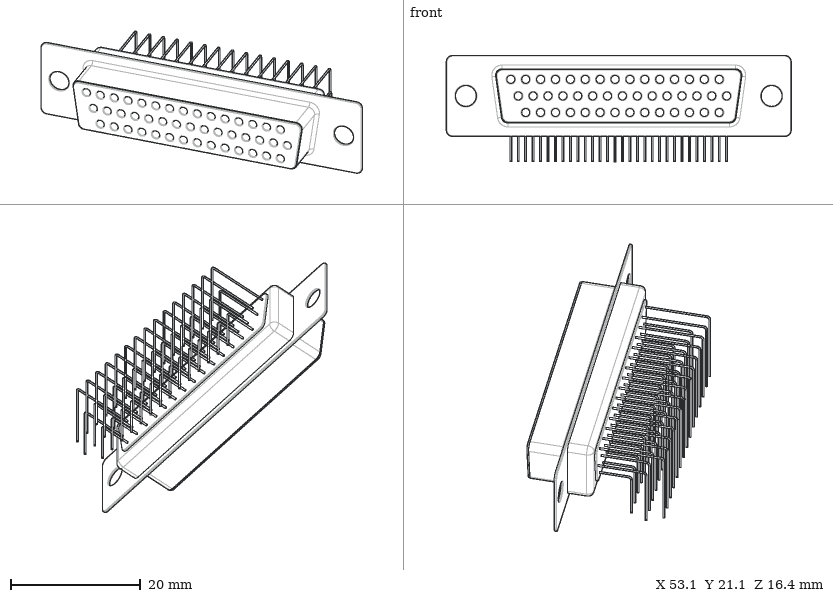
import cadquery as cq
import math

flange_width = 53.1
flange_height = 12.5
flange_thickness = 0.4
mount_hole_spacing = 47.05
mount_hole_diameter = 3.2

corner_radius = 1.0
edge_round = 0.1
side_lean = 8
shell_width = 37.9
front_height = 8.35
front_depth = 6.05
face_inset = 0.1
face_projection = 0.3
base_fillet = 0.6
rear_height = 10.4
rear_depth = 4.0
rear_rim_radius = 0.95
insulator_width = 35.2
insulator_height = 7.45
insulator_projection = 0.3

top_row_count = 15
top_row_length = 32.05
contact_pitch = top_row_length / (top_row_count - 1)
first_contact_x = -top_row_length / 2 - contact_pitch / 4
row_pitch = 2.55
socket_diameter = 1.2
socket_depth = 2.65

pin_diameter = 0.3
pin_bend_radius = 0.5
pin_embed = 0.55
overall_depth = 21.05
overall_height = 16.4
long_pin_bottom = flange_height / 2 - overall_height
pin_bottom = long_pin_bottom + 0.1
insulator_back = flange_thickness + rear_depth + insulator_projection
top_row_leg = overall_depth - front_depth - pin_diameter / 2

rows = [
    (row_pitch, first_contact_x, top_row_count, top_row_leg),
    (0, first_contact_x + contact_pitch / 2, top_row_count, top_row_leg - row_pitch),
    (-row_pitch, first_contact_x + contact_pitch, top_row_count - 1, top_row_leg - 2 * row_pitch),
]


def d_prism(width, height, y_start, y_end, radius=corner_radius):
    """Prism along Y with a rounded D outline; width is measured over its rounded upper corners."""
    lean = math.radians(side_lean)
    upper_corner = math.pi / 2 - lean
    half_top = width / 2 - radius + radius / math.tan(upper_corner / 2)
    half_bottom = half_top - height * math.tan(lean)
    outline = [
        (-half_top, height / 2),
        (half_top, height / 2),
        (half_bottom, -height / 2),
        (-half_bottom, -height / 2),
    ]
    prism = cq.Workplane("XZ", origin=(0, y_start, 0)).polyline(outline).close().extrude(y_start - y_end)
    return prism.edges("|Y").fillet(radius)


def make_flange():
    plate = cq.Workplane("XZ").rect(flange_width, flange_height).extrude(-flange_thickness)
    plate = plate.edges("|Y").fillet(corner_radius)
    holes = [(-mount_hole_spacing / 2, 0), (mount_hole_spacing / 2, 0)]
    plate = plate.faces("<Y").workplane().pushPoints(holes).hole(mount_hole_diameter)
    return plate.faces("<Y or >Y").edges().fillet(edge_round)


def add_front_shell(body):
    shell = d_prism(shell_width, front_height, flange_thickness, face_projection - front_depth)
    root_box = cq.selectors.BoxSelector(
        (-shell_width / 2 - 0.55, -0.05, -front_height / 2 - 0.55),
        (shell_width / 2 + 0.55, 0.05, front_height / 2 + 0.55),
    )
    return body.union(shell).edges(root_box).fillet(base_fillet)


def make_rear_shell():
    shell = cq.Workplane("XZ").rect(shell_width, rear_height).extrude(-flange_thickness - rear_depth)
    shell = shell.edges("|Y").fillet(corner_radius)
    return shell.faces(">Y").edges().fillet(rear_rim_radius)


def make_rear_insulator():
    block = d_prism(insulator_width, insulator_height, 0, insulator_back)
    return block.faces(">Y").edges().fillet(edge_round)


def contact_block():
    """Front of the insulator, which fills the front shell and stands out of it by a small step."""
    return d_prism(
        shell_width - 2 * face_inset,
        front_height - 2 * face_inset,
        0,
        -front_depth,
        corner_radius - face_inset,
    )


def make_contact_face(contacts):
    """Contact block with a blind, rounded-mouth socket for every contact."""
    sockets = (
        cq.Workplane("XZ", origin=(0, -front_depth, 0))
        .pushPoints([(x, z) for x, z, leg_y in contacts])
        .circle(socket_diameter / 2)
        .extrude(-socket_depth)
    )
    return contact_block().cut(sockets).faces("<Y").edges().fillet(edge_round)


def make_pin(x, z, leg_y, bottom):
    path = (
        cq.Workplane("YZ", origin=(x, 0, 0))
        .moveTo(insulator_back - pin_embed, z)
        .lineTo(leg_y - pin_bend_radius, z)
        .radiusArc((leg_y, z - pin_bend_radius), pin_bend_radius)
        .lineTo(leg_y, bottom)
    )
    section = cq.Workplane("XZ", origin=(x, insulator_back - pin_embed, z)).circle(pin_diameter / 2)
    return section.sweep(path)


contacts = [
    (first_x + i * contact_pitch, z, leg_y)
    for z, first_x, count, leg_y in rows
    for i in range(count)
]
long_contact = contacts[2 * top_row_count + 6]

body = make_flange()
body = add_front_shell(body)
body = body.union(make_rear_shell())
body = body.union(make_rear_insulator())
body = body.cut(contact_block())
body = body.union(make_contact_face(contacts))

pins = [
    make_pin(x, z, leg_y, long_pin_bottom if (x, z, leg_y) == long_contact else pin_bottom).val()
    for x, z, leg_y in contacts
]
result = body.union(cq.Workplane(cq.Compound.makeCompound(pins)))